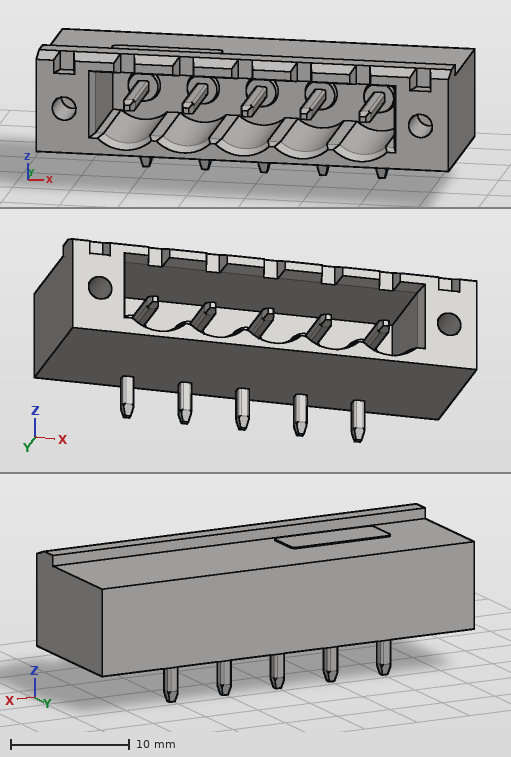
import cadquery as cq
import math

LENGTH = 35.55
DEPTH = 12.0
BASE_HEIGHT = 7.65
TOTAL_HEIGHT = 12.05
PIN_PROTRUSION = 3.5
RAIL_HEIGHT = TOTAL_HEIGHT - PIN_PROTRUSION
FRONT_Y = -DEPTH / 2
BACK_Y = DEPTH / 2

RAIL_DEPTH = 3.0
RAIL_BEVEL_DEPTH = 1.35
RAIL_BEVEL_DROP = 0.5

PIN_COUNT = 5
PITCH = LENGTH / (PIN_COUNT + 2)
PIN_XS = [(i - (PIN_COUNT - 1) / 2) * PITCH for i in range(PIN_COUNT)]
PIN_SIZE = 1.0
PIN_ROUNDING = 0.2
PIN_AXIS_Z = 3.88
PIN_LEG_Y = BACK_Y - 2.0
PIN_TIP_Y = FRONT_Y + 1.2
TIP_SIZE = 0.5
TIP_LENGTH = 1.0

SOCKET_DEPTH = 9.0
SOCKET_HALF_LENGTH = 12.87
SOCKET_CEILING_Z = 6.95
SOCKET_FLOOR_Z = 1.6
CHANNEL_RADIUS = 3.02
LIP_DEPTH = 1.15
LIP_FLARE = 0.35
LIP_FLOOR_DROP = 0.18

COLLAR_RADIUS = 1.4
COLLAR_TOP_RADIUS = 1.28
COLLAR_HEIGHT = 0.55

FLANGE_X = 15.35
NOTCH_FRONT_WIDTH = 1.8
NOTCH_BACK_WIDTH = 1.17

FLANGE_HOLE_DIAMETER = 2.03
FLANGE_HOLE_DEPTH = 4.0

LABEL_LENGTH = 9.45
LABEL_WIDTH = 3.65
LABEL_HEIGHT = 0.1
LABEL_CORNER_RADIUS = 0.43
LABEL_X = -7.7
LABEL_Y = -0.68


def front_plane(y, x=0, z=0):
    """Sketch plane facing -Y, with local x along X and local y along Z."""
    return cq.Workplane("XZ", origin=(x, y, z))


def make_block():
    profile = [
        (FRONT_Y, 0),
        (BACK_Y, 0),
        (BACK_Y, BASE_HEIGHT),
        (FRONT_Y + RAIL_DEPTH, BASE_HEIGHT),
        (FRONT_Y + RAIL_DEPTH, RAIL_HEIGHT),
        (FRONT_Y + RAIL_BEVEL_DEPTH, RAIL_HEIGHT),
        (FRONT_Y, RAIL_HEIGHT - RAIL_BEVEL_DROP),
    ]
    return cq.Workplane("YZ", origin=(-LENGTH / 2, 0, 0)).polyline(profile).close().extrude(LENGTH)


def socket_outline(plane, flare=0, floor_drop=0):
    """Closed socket outline, widened by `flare` with the ridges between channels lowered by `floor_drop`."""
    half_length = SOCKET_HALF_LENGTH + flare
    floor_z = SOCKET_FLOOR_Z - floor_drop
    ceiling_z = SOCKET_CEILING_Z + flare
    radius = CHANNEL_RADIUS + flare
    channel_half = math.sqrt(radius**2 - (PIN_AXIS_Z - floor_z) ** 2)

    outline = plane.moveTo(-half_length, ceiling_z).lineTo(-half_length, floor_z)
    for x in PIN_XS:
        outline = outline.lineTo(x - channel_half, floor_z)
        outline = outline.threePointArc((x, PIN_AXIS_Z - radius), (x + channel_half, floor_z))
    return outline.lineTo(half_length, floor_z).lineTo(half_length, ceiling_z).close()


def make_socket():
    straight = socket_outline(front_plane(FRONT_Y)).extrude(-SOCKET_DEPTH)
    front_wire = socket_outline(front_plane(FRONT_Y), LIP_FLARE, LIP_FLOOR_DROP).wire().val()
    back_wire = socket_outline(front_plane(FRONT_Y + LIP_DEPTH)).wire().val()
    lip = cq.Solid.makeLoft([front_wire, back_wire], True)
    return straight.union(cq.Workplane(lip))


def make_collar(x):
    taper = math.degrees(math.atan((COLLAR_RADIUS - COLLAR_TOP_RADIUS) / COLLAR_HEIGHT))
    collar_plane = front_plane(FRONT_Y + SOCKET_DEPTH, x, PIN_AXIS_Z)
    return collar_plane.circle(COLLAR_RADIUS).extrude(COLLAR_HEIGHT, taper=taper)


def make_notch(x):
    """Tapered notch that narrows away from the mating face."""
    back_y = FRONT_Y + RAIL_BEVEL_DEPTH
    corners = [
        (x - NOTCH_FRONT_WIDTH / 2, FRONT_Y),
        (x + NOTCH_FRONT_WIDTH / 2, FRONT_Y),
        (x + NOTCH_BACK_WIDTH / 2, back_y),
        (x - NOTCH_BACK_WIDTH / 2, back_y),
    ]
    notch_plane = cq.Workplane("XY", origin=(0, 0, SOCKET_CEILING_Z))
    return notch_plane.polyline(corners).close().extrude(RAIL_HEIGHT - SOCKET_CEILING_Z)


def make_flange_hole(x):
    return front_plane(FRONT_Y, x, PIN_AXIS_Z).circle(FLANGE_HOLE_DIAMETER / 2).extrude(-FLANGE_HOLE_DEPTH)


def make_label():
    plate = cq.Workplane("XY", origin=(LABEL_X, LABEL_Y, BASE_HEIGHT)).rect(LABEL_LENGTH, LABEL_WIDTH)
    return plate.extrude(LABEL_HEIGHT).edges("|Z").fillet(LABEL_CORNER_RADIUS)


def make_bar(length):
    """Square bar along +Z from the origin, with rounded long edges and a blunt pyramid tip."""
    bar = cq.Workplane("XY").rect(PIN_SIZE, PIN_SIZE).extrude(length)
    bar = bar.edges("|Z").fillet(PIN_ROUNDING)
    shank_length = length - TIP_LENGTH
    envelope = cq.Workplane("XY").rect(PIN_SIZE, PIN_SIZE).extrude(shank_length)
    tip = cq.Workplane("XY", origin=(0, 0, shank_length)).rect(PIN_SIZE, PIN_SIZE)
    tip = tip.workplane(offset=TIP_LENGTH).rect(TIP_SIZE, TIP_SIZE).loft(ruled=True)
    return bar.intersect(envelope.union(tip))


def make_pin(x):
    """Right-angle contact: a horizontal blade and a downward solder leg."""
    heel = PIN_SIZE / 2
    blade = make_bar(PIN_LEG_Y + heel - PIN_TIP_Y)
    blade = blade.rotate((0, 0, 0), (1, 0, 0), 90).translate((x, PIN_LEG_Y + heel, PIN_AXIS_Z))
    leg = make_bar(PIN_AXIS_Z + heel + PIN_PROTRUSION)
    leg = leg.rotate((0, 0, 0), (1, 0, 0), 180).translate((x, PIN_LEG_Y, PIN_AXIS_Z + heel))
    return blade.union(leg)


def make_housing(pins):
    housing = make_block().union(make_label()).cut(make_socket())
    for x in PIN_XS:
        housing = housing.union(make_collar(x))
    for x in [-FLANGE_X, *PIN_XS, FLANGE_X]:
        housing = housing.cut(make_notch(x))
    for x in (-FLANGE_X, FLANGE_X):
        housing = housing.cut(make_flange_hole(x))
    for pin in pins:
        housing = housing.cut(pin)
    return housing


pins = [make_pin(x) for x in PIN_XS]
housing = make_housing(pins)

result = cq.Compound.makeCompound([housing.solids().val(), *[pin.solids().val() for pin in pins]])